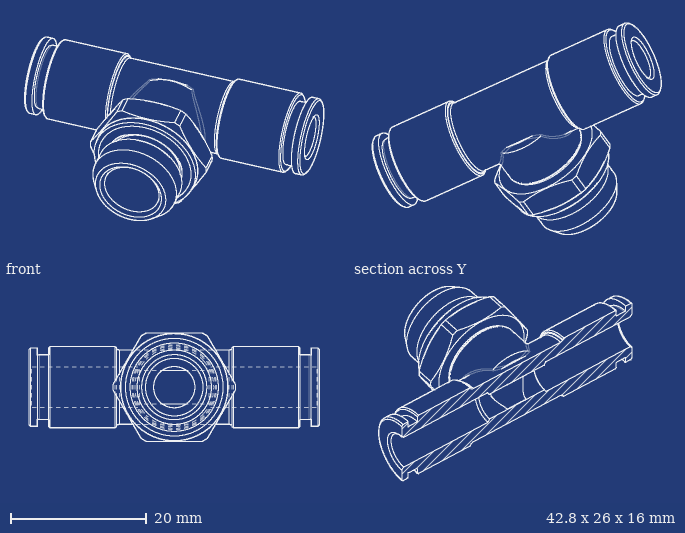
import cadquery as cq
import math


run_length = 42.8
half_run = run_length / 2
collar_radius = 5.78
collar_width = 1.25
collar_chamfer = 0.25
neck_radius = 4.8
neck_root_radius = 4.7
neck_root_width = 0.3
sleeve_start = 2.9
sleeve_end = 12.93
sleeve_radius = 6.0
sleeve_chamfer = 0.2
body_radius = 5.48
shoulder_radius = 5.6
shoulder_width = 0.4

tube_bore_radius = 3.0
tube_bore_depth = 16.0
tube_mouth_radius = 3.4
tube_seat_taper = 0.3
run_bore_radius = 2.5

stem_radius = 6.25
stem_crown_radius = 5.65
stem_crown_start = 0.75
stem_crown_end = 1.5
stem_blend_radius = 0.43
undercut_radius = 6.08
undercut_start = 8.17
hex_start = 8.5
hex_end = 12.45
washer_radius = 7.88
washer_end = 13.5
seal_ring_radius = 6.5
seal_section_radius = 0.7
thread_root_radius = 5.48
thread_root_end = 14.7
thread_radius = 6.5
thread_start = 15.65
thread_end = 18.15
stem_length = 20.0
stem_tip_radius = thread_root_radius

hex_across_flats = 16.0
hex_corner_radius = 9.0
hex_face_radius = 7.9
hex_corner_drop = 0.55

stem_bore_radius = 4.25
stem_mouth_radius = 4.8
stem_bore_end = 10.0
stem_bore_taper = 0.73
stem_port_radius = 3.05


def revolve_about_x(points):
    """Solid of revolution about the X axis from (x, radius) points."""
    return cq.Workplane("XY").polyline(points).close().revolve(360, (0, 0, 0), (1, 0, 0))


def revolve_about_y(profile):
    """Solid of revolution about the Y axis from a closed XY profile."""
    return profile.close().revolve(360, (0, 0, 0), (0, 1, 0))


def both_ends(half):
    """Join a half that lies on -X with its mirror image on +X."""
    return half.union(half.mirror("YZ"))


def run_outside():
    collar_end = -half_run + collar_width
    sleeve_left = -half_run + sleeve_start
    sleeve_right = -half_run + sleeve_end
    half = revolve_about_x([
        (-half_run, 0),
        (-half_run, collar_radius - collar_chamfer),
        (-half_run + collar_chamfer, collar_radius),
        (collar_end, collar_radius),
        (collar_end, neck_root_radius),
        (collar_end + neck_root_width, neck_radius),
        (sleeve_left, neck_radius),
        (sleeve_left, sleeve_radius - sleeve_chamfer),
        (sleeve_left + sleeve_chamfer, sleeve_radius),
        (sleeve_right - sleeve_chamfer, sleeve_radius),
        (sleeve_right, sleeve_radius - sleeve_chamfer),
        (sleeve_right, shoulder_radius),
        (sleeve_right + shoulder_width, body_radius),
        (0, body_radius),
        (0, 0),
    ])
    return both_ends(half)


def run_passage():
    seat = -half_run + tube_bore_depth
    mouth_depth = tube_mouth_radius - tube_bore_radius
    half = revolve_about_x([
        (-half_run, 0),
        (-half_run, tube_mouth_radius),
        (-half_run + mouth_depth, tube_bore_radius),
        (seat, tube_bore_radius),
        (seat + tube_seat_taper, run_bore_radius),
        (0, run_bore_radius),
        (0, 0),
    ])
    return both_ends(half)


def stem_neck():
    """Plain branch between the run and the hexagon, with a tapered crown."""
    return revolve_about_y(cq.Workplane("XY").polyline([
        (0, -stem_crown_start),
        (stem_crown_radius, -stem_crown_start),
        (stem_radius, -stem_crown_end),
        (stem_radius, -undercut_start),
        (undercut_radius, -undercut_start),
        (undercut_radius, -hex_start),
        (0, -hex_start),
    ]))


def hexagon():
    """Hexagon with rounded corners and conical chamfers on both faces."""
    across_corners = hex_across_flats / math.cos(math.pi / 6)
    prism = (
        cq.Workplane("XZ", origin=(0, -hex_start, 0))
        .polygon(6, across_corners)
        .extrude(hex_end - hex_start)
    )
    envelope = revolve_about_y(cq.Workplane("XY").polyline([
        (0, -hex_start),
        (hex_face_radius, -hex_start),
        (hex_corner_radius, -hex_start - hex_corner_drop),
        (hex_corner_radius, -hex_end + hex_corner_drop),
        (hex_face_radius, -hex_end),
        (0, -hex_end),
    ]))
    return prism.intersect(envelope)


def threaded_end():
    """Washer flange, half-round seal ring and simplified threaded end."""
    return revolve_about_y(
        cq.Workplane("XY")
        .moveTo(0, -hex_end)
        .lineTo(washer_radius, -hex_end)
        .lineTo(washer_radius, -washer_end)
        .lineTo(seal_ring_radius + seal_section_radius, -washer_end)
        .threePointArc(
            (seal_ring_radius, -washer_end - seal_section_radius),
            (seal_ring_radius - seal_section_radius, -washer_end),
        )
        .lineTo(thread_root_radius, -washer_end)
        .lineTo(thread_root_radius, -thread_root_end)
        .lineTo(thread_radius, -thread_start)
        .lineTo(thread_radius, -thread_end)
        .lineTo(stem_tip_radius, -stem_length)
        .lineTo(0, -stem_length)
    )


def stem_passage():
    mouth_depth = stem_mouth_radius - stem_bore_radius
    return revolve_about_y(cq.Workplane("XY").polyline([
        (0, 0),
        (stem_port_radius, 0),
        (stem_port_radius, -stem_bore_end + stem_bore_taper),
        (stem_bore_radius, -stem_bore_end),
        (stem_bore_radius, -stem_length + mouth_depth),
        (stem_mouth_radius, -stem_length),
        (0, -stem_length),
    ]))


tee_body = run_outside().union(stem_neck()).edges("%BSPLINE").fillet(stem_blend_radius)
outside = tee_body.union(hexagon()).union(threaded_end())
result = outside.cut(run_passage()).cut(stem_passage())